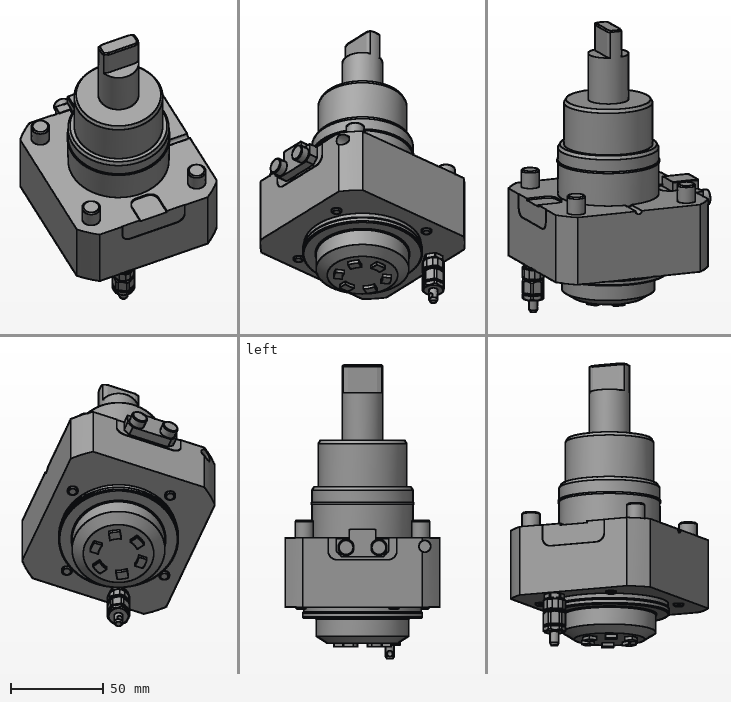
import cadquery as cq
import math


OVERALL_X = 99.9
OVERALL_Z = 159.3

BLOCK_X = 90.0
BLOCK_Y = 84.0
BLOCK_HEIGHT = 37.6
CORNER_RADIUS = 55.5

SIDE_RECESS_WIDTH = 37.3
SIDE_RECESS_HEIGHT = 12.0
TOP_RECESS_WIDTH = 16.0
TOP_RECESS_END = 29.3
SIDE_RECESS_DEPTH = 0.24
TOP_RECESS_DEPTH = 1.0
RECESS_CORNER_RADIUS = 5.0

GROOVE_RADIUS = 1.8
CORNER_HOLE_RADIUS = 3.2
CORNER_HOLE_Y = -33.8
CORNER_HOLE_Z = 33.0
CORNER_HOLE_END_X = -31.9

POST_X = 32.5
POST_Y = 31.5
POST_RADIUS = 5.0
POST_TOP = 47.2
POST_CHAMFER = 0.8

PLUG_X = 17.0
PLUG_Y = 33.3
PLUG_RADIUS = 2.9
PLUG_HEIGHT = 1.2
PLUG_CHAMFER = 0.8

COLLAR_RADIUS = 27.4
COLLAR_TOP = 65.3
NECK_RADIUS = 24.0
NECK_TOP = 90.5
NOSE_CHAMFER_HEIGHT = 1.9
NOSE_CHAMFER_RADIAL = 1.1
O_RING_Z = 56.2
O_RING_SECTION_RADIUS = 0.5

SHAFT_RADIUS = 11.0
SHAFT_TOP = 131.3
TANG_BOTTOM = 116.1
TANG_THICKNESS = 8.3
TANG_FLAT_WIDTH = 16.0
TANG_EDGE_THICKNESS = 6.7
TANG_CHAMFER_HEIGHT = 1.0
TANG_CHAMFER_INSET = 0.6

FLANGE_RADIUS = 31.9
FLANGE_RIM_RADIUS = 32.5
FLANGE_RIM_CHAMFER_TOP = -2.4
FLANGE_RIM_TOP = -3.3
FLANGE_RIM_BOTTOM = -5.3
FLANGE_BOTTOM = -5.9
CAP_RADIUS = 25.2
CAP_ROOT_RADIUS = 25.6
CAP_ROOT_BOTTOM = -6.5
CAP_CONE_TOP = -15.8
CAP_BOTTOM = -19.6
CAP_BOTTOM_RADIUS = 19.1

LUG_COUNT = 6
LUG_OUTER_RADIUS = 15.6
LUG_INNER_RADIUS = 11.0
LUG_WIDTH = 6.2
LUG_BOTTOM = -21.5

KEY_OUTER_X = -50.0
KEY_INNER_X = -35.0
KEY_WIDTH = 14.5
KEY_TOP = 42.2
KEY_CHAMFER = 0.5
PLATE_WIDTH = 28.5
PLATE_TOP = 37.1
PLATE_BOTTOM = 27.4
PLATE_CHAMFER = 3.0
KEY_SCREW_Y = 9.0
KEY_SCREW_Z = 32.3
KEY_SCREW_RADIUS = 4.3
KEY_SCREW_LENGTH = KEY_OUTER_X - (BLOCK_X / 2 - OVERALL_X)
KEY_SCREW_CHAMFER = 0.5

FITTING_X = 37.9
FITTING_Y = -14.8
FITTING_RADIUS = 6.0
FITTING_BEVEL = 0.8
FITTING_UPPER_NECK_RADIUS = 5.0
FITTING_LOWER_NECK_RADIUS = 4.5
ADAPTER_FLATS = 9.7
ADAPTER_RADIUS = 5.4
ADAPTER_BOTTOM = -2.4
COUPLING_FLATS = 11.6
COUPLING_TOP = -3.0
COUPLING_BOTTOM = -9.0
COUPLING_BEVEL = 0.5
BODY_FLATS = 11.2
BODY_TOP = -9.7
BODY_BOTTOM = -16.9
NUT_TOP = -18.0
NUT_BOTTOM = -20.7
STEM_RADIUS = 2.4
STEM_BOTTOM = SHAFT_TOP - OVERALL_Z
STEM_CHAMFER_HEIGHT = 1.5
STEM_CHAMFER_RADIAL = 0.8
STEM_DIMPLE_RADIUS = 1.6
STEM_DIMPLE_Z = -25.2

OVERLAP = 0.8


def revolve_profile(points):
    """Solid of revolution about Z from (radius, z) points closed along the axis."""
    return cq.Workplane("XZ").polyline(points).close().revolve(360, (0, 0, 0), (0, 1, 0))


def cylinder(radius, bottom, top):
    return cq.Workplane("XY").workplane(offset=bottom).circle(radius).extrude(top - bottom)


def box(x_range, y_width, z_range):
    """Box centred on Y = 0."""
    (x0, x1), (z0, z1) = x_range, z_range
    solid = cq.Workplane("XY").box(x1 - x0, y_width, z1 - z0, centered=(False, True, False))
    return solid.translate((x0, 0, z0))


def recesses():
    """Shallow recesses at the -X edge of the block: one in the side, one in the top."""
    half_x = BLOCK_X / 2
    side = box(
        (-half_x - OVERLAP, -half_x + SIDE_RECESS_DEPTH),
        SIDE_RECESS_WIDTH,
        (BLOCK_HEIGHT - SIDE_RECESS_HEIGHT, BLOCK_HEIGHT + 2 * RECESS_CORNER_RADIUS),
    ).edges("|X").fillet(RECESS_CORNER_RADIUS)
    top = box(
        (-half_x - 2 * RECESS_CORNER_RADIUS, -TOP_RECESS_END),
        TOP_RECESS_WIDTH,
        (BLOCK_HEIGHT - TOP_RECESS_DEPTH, BLOCK_HEIGHT + OVERLAP),
    ).edges("|Z").fillet(RECESS_CORNER_RADIUS)
    return side.union(top)


def make_block():
    block = cq.Workplane("XY").box(BLOCK_X, BLOCK_Y, BLOCK_HEIGHT, centered=(True, True, False))
    block = block.intersect(cylinder(CORNER_RADIUS, 0, BLOCK_HEIGHT))
    block = block.cut(recesses()).cut(recesses().mirror("YZ"))

    groove = (
        cq.Workplane("XZ")
        .center(0, BLOCK_HEIGHT)
        .circle(GROOVE_RADIUS)
        .extrude(-BLOCK_Y / 2)
    )
    corner_hole = (
        cq.Workplane("YZ", origin=(-BLOCK_X / 2, 0, 0))
        .center(CORNER_HOLE_Y, CORNER_HOLE_Z)
        .circle(CORNER_HOLE_RADIUS)
        .extrude(CORNER_HOLE_END_X + BLOCK_X / 2)
    )
    return block.cut(groove).cut(corner_hole)


def make_posts():
    """Four chamfered screw heads on top of the block."""
    return (
        cq.Workplane("XY")
        .workplane(offset=BLOCK_HEIGHT - OVERLAP)
        .rect(2 * POST_X, 2 * POST_Y, forConstruction=True)
        .vertices()
        .circle(POST_RADIUS)
        .extrude(POST_TOP - BLOCK_HEIGHT + OVERLAP)
        .faces(">Z")
        .chamfer(POST_CHAMFER)
    )


def make_plugs():
    """Four low plugs under the block, a quarter turn apart."""
    plug = (
        cylinder(PLUG_RADIUS, -PLUG_HEIGHT, OVERLAP)
        .faces("<Z")
        .chamfer(PLUG_CHAMFER)
        .translate((PLUG_X, -PLUG_Y, 0))
    )
    plugs = plug
    for quarter in range(1, 4):
        plugs = plugs.union(plug.rotate((0, 0, 0), (0, 0, 1), 90 * quarter))
    return plugs


def make_nose():
    """Collar and neck, each with a bevelled shoulder, and the O-ring on the collar."""
    nose = revolve_profile([
        (0, BLOCK_HEIGHT - OVERLAP),
        (COLLAR_RADIUS, BLOCK_HEIGHT - OVERLAP),
        (COLLAR_RADIUS, COLLAR_TOP - NOSE_CHAMFER_HEIGHT),
        (COLLAR_RADIUS - NOSE_CHAMFER_RADIAL, COLLAR_TOP),
        (NECK_RADIUS, COLLAR_TOP),
        (NECK_RADIUS, NECK_TOP - NOSE_CHAMFER_HEIGHT),
        (NECK_RADIUS - NOSE_CHAMFER_RADIAL, NECK_TOP),
        (0, NECK_TOP),
    ])
    o_ring = (
        cq.Workplane("XZ")
        .center(COLLAR_RADIUS, O_RING_Z)
        .circle(O_RING_SECTION_RADIUS)
        .revolve(360, (-COLLAR_RADIUS, 0, 0), (-COLLAR_RADIUS, 1, 0))
    )
    return nose.union(o_ring)


def make_shaft():
    """Round shaft ending in a flat tang with bevelled side edges."""
    shaft = cylinder(SHAFT_RADIUS, NECK_TOP - OVERLAP, SHAFT_TOP)
    half_flat = TANG_FLAT_WIDTH / 2
    half_thick = TANG_THICKNESS / 2
    half_edge = TANG_EDGE_THICKNESS / 2
    edge_y = math.sqrt(SHAFT_RADIUS**2 - half_edge**2)
    clearance = SHAFT_RADIUS + OVERLAP
    side_cut = (
        cq.Workplane("XY")
        .workplane(offset=TANG_BOTTOM)
        .polyline([
            (half_edge, -clearance),
            (half_edge, -edge_y),
            (half_thick, -half_flat),
            (half_thick, half_flat),
            (half_edge, edge_y),
            (half_edge, clearance),
            (clearance, clearance),
            (clearance, -clearance),
        ])
        .close()
        .extrude(SHAFT_TOP - TANG_BOTTOM + OVERLAP)
    )
    shaft = shaft.cut(side_cut).cut(side_cut.mirror("YZ"))
    return shaft.faces(">Z").chamfer(TANG_CHAMFER_INSET, TANG_CHAMFER_HEIGHT)


def make_lower_cap():
    """Flange with a raised rim, then a cap ending in a cone."""
    return revolve_profile([
        (0, OVERLAP),
        (FLANGE_RADIUS, OVERLAP),
        (FLANGE_RADIUS, FLANGE_RIM_CHAMFER_TOP),
        (FLANGE_RIM_RADIUS, FLANGE_RIM_TOP),
        (FLANGE_RIM_RADIUS, FLANGE_RIM_BOTTOM),
        (FLANGE_RADIUS, FLANGE_BOTTOM),
        (CAP_ROOT_RADIUS, FLANGE_BOTTOM),
        (CAP_RADIUS, CAP_ROOT_BOTTOM),
        (CAP_RADIUS, CAP_CONE_TOP),
        (CAP_BOTTOM_RADIUS, CAP_BOTTOM),
        (0, CAP_BOTTOM),
    ])


def make_lugs():
    """Ring under the cap, kept only where three crossing bars cover it."""
    top = CAP_BOTTOM + OVERLAP
    ring = cylinder(LUG_OUTER_RADIUS, LUG_BOTTOM, top).cut(cylinder(LUG_INNER_RADIUS, LUG_BOTTOM, top))
    bar = (
        cq.Workplane("XY")
        .workplane(offset=LUG_BOTTOM)
        .rect(LUG_WIDTH, 2 * LUG_OUTER_RADIUS + OVERLAP)
        .extrude(top - LUG_BOTTOM)
    )
    bars = bar
    for step in range(1, LUG_COUNT // 2):
        bars = bars.union(bar.rotate((0, 0, 0), (0, 0, 1), step * 360 / LUG_COUNT))
    return ring.intersect(bars)


def make_key():
    """Drive key on a clamping plate, held by two screws on the -X side."""
    key = box((KEY_OUTER_X, KEY_INNER_X), KEY_WIDTH, (PLATE_BOTTOM, KEY_TOP))
    key = key.edges("|X and >Z").chamfer(KEY_CHAMFER)
    plate = box((KEY_OUTER_X, -BLOCK_X / 2 + SIDE_RECESS_DEPTH), PLATE_WIDTH, (PLATE_BOTTOM, PLATE_TOP))
    plate = plate.edges("|X and <Z").chamfer(PLATE_CHAMFER)
    screws = (
        cq.Workplane("YZ", origin=(KEY_OUTER_X, 0, 0))
        .pushPoints([(-KEY_SCREW_Y, KEY_SCREW_Z), (KEY_SCREW_Y, KEY_SCREW_Z)])
        .circle(KEY_SCREW_RADIUS)
        .extrude(-KEY_SCREW_LENGTH)
        .faces("<X")
        .chamfer(KEY_SCREW_CHAMFER)
    )
    return key.union(plate).union(screws)


def turned_hexagon(across_flats, radius, top, bottom, top_bevel=0, bottom_bevel=0):
    """Hexagon with two flats facing Y, its corners trimmed to a bevelled cylinder."""
    hexagon = (
        cq.Workplane("XY")
        .workplane(offset=bottom)
        .polygon(6, across_flats / math.cos(math.pi / 6))
        .extrude(top - bottom)
    )
    blank = cylinder(radius, bottom, top)
    if top_bevel:
        blank = blank.faces(">Z").chamfer(top_bevel)
    if bottom_bevel:
        blank = blank.faces("<Z").chamfer(bottom_bevel)
    return hexagon.intersect(blank)


def make_fitting():
    """Hose fitting under the block: a core, four hexagons and a stem with a dimple."""
    fitting = revolve_profile([
        (0, OVERLAP),
        (FITTING_UPPER_NECK_RADIUS, OVERLAP),
        (FITTING_UPPER_NECK_RADIUS, BODY_TOP - OVERLAP),
        (FITTING_LOWER_NECK_RADIUS, BODY_TOP - OVERLAP),
        (FITTING_LOWER_NECK_RADIUS, NUT_TOP - OVERLAP),
        (STEM_RADIUS, NUT_TOP - OVERLAP),
        (STEM_RADIUS, STEM_BOTTOM + STEM_CHAMFER_HEIGHT),
        (STEM_RADIUS - STEM_CHAMFER_RADIAL, STEM_BOTTOM),
        (0, STEM_BOTTOM),
    ])
    hexagons = (
        turned_hexagon(ADAPTER_FLATS, ADAPTER_RADIUS, OVERLAP, ADAPTER_BOTTOM),
        turned_hexagon(
            COUPLING_FLATS, FITTING_RADIUS, COUPLING_TOP, COUPLING_BOTTOM, COUPLING_BEVEL, COUPLING_BEVEL
        ),
        turned_hexagon(BODY_FLATS, FITTING_RADIUS, BODY_TOP, BODY_BOTTOM, top_bevel=FITTING_BEVEL),
        turned_hexagon(BODY_FLATS, FITTING_RADIUS, NUT_TOP, NUT_BOTTOM, bottom_bevel=FITTING_BEVEL),
    )
    for hexagon in hexagons:
        fitting = fitting.union(hexagon)
    dimple = cq.Workplane("XY").sphere(STEM_DIMPLE_RADIUS).translate((-STEM_RADIUS, 0, STEM_DIMPLE_Z))
    return fitting.cut(dimple).translate((FITTING_X, FITTING_Y, 0))


result = make_block()
for feature in (
    make_posts(),
    make_plugs(),
    make_nose(),
    make_shaft(),
    make_lower_cap(),
    make_lugs(),
    make_key(),
    make_fitting(),
):
    result = result.union(feature)